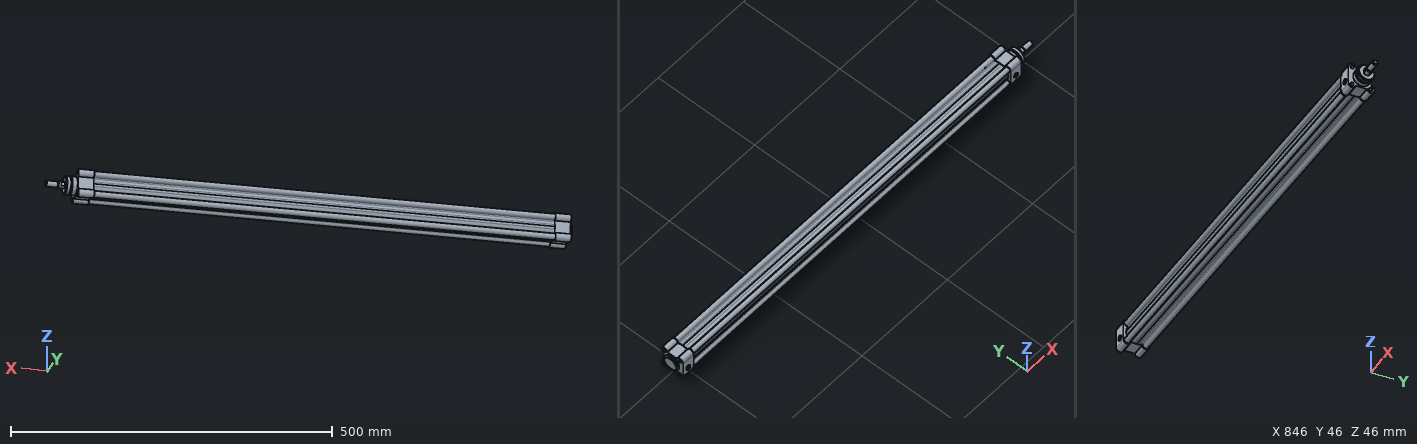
import cadquery as cq

total_length = 846.0
side = 46.0
boss_length = 4.0
cap_length = 25.0
rod_reach = 48.0
rear_face = boss_length
front_face = total_length - rod_reach
tube_start = rear_face + cap_length
tube_end = front_face - cap_length

cap_lobe_radius = 6.6
screw_offset = side / 2 - cap_lobe_radius
tube_lobe_radius = 5.25

recess_depth = 5.4
recess_level = side / 2 - recess_depth
screw_hole_diameter = 6.0
screw_hole_depth = 16.0
port_from_face = 13.0
port_height = -5.7
port_seat_diameter = 9.0
port_seat_depth = 1.0
port_diameter = 7.0
port_depth = 10.0

collar_diameter = 30.0
collar_radius = collar_diameter / 2
boss_chamfer_length = 2.0
boss_chamfer_depth = 2.5
collar_length = 18.0
collar_chamfer = 2.0
groove_start = 8.0
groove_width = 2.5
groove_depth = 1.0

barrel_depth = 4.8
barrel_radius = side / 2 - barrel_depth
junction_fillet = 1.3
ridge_half_width = 3.8
ridge_depth = 4.4
ridge_height = side / 2 - ridge_depth

rod_radius = 6.0
thread_radius = 5.0
thread_length = 19.5
rod_chamfer = 1.3
thread_chamfer = 2.0
flat_half_width = 5.2
flat_length = 6.0


def corner_points(offset):
    return [(y, z) for y in (-offset, offset) for z in (-offset, offset)]


def section(x):
    """Sketch plane across the axis: local x is Y, local y is Z, normal is +X."""
    return cq.Workplane("YZ", origin=(x, 0, 0))


def lobes(x, length, radius):
    return section(x).pushPoints(corner_points(screw_offset)).circle(radius).extrude(length)


def cap(inner_x, outward):
    """End cap from its tube-side face; outward is +1 towards +X or -1 towards -X."""
    start = min(inner_x, inner_x + outward * cap_length)
    core_width = side / 2 + recess_level
    core_center = (recess_level - side / 2) / 2
    body = section(start).center(core_center, 0).rect(core_width, 2 * screw_offset).extrude(cap_length)
    body = body.union(section(start).rect(2 * screw_offset, 2 * recess_level).extrude(cap_length))
    body = body.union(lobes(start, cap_length, cap_lobe_radius))

    outer_x = inner_x + outward * cap_length
    holes = section(outer_x).pushPoints(corner_points(screw_offset)).circle(screw_hole_diameter / 2)
    body = body.cut(holes.extrude(-outward * screw_hole_depth))

    port_x = outer_x - outward * port_from_face
    port_plane = cq.Workplane("XZ", origin=(port_x, -side / 2, port_height))
    body = body.cut(port_plane.circle(port_seat_diameter / 2).extrude(-port_seat_depth))
    return body.cut(port_plane.circle(port_diameter / 2).extrude(-port_depth))


def make_rear_cap():
    boss = section(0).circle(collar_radius).extrude(boss_length)
    boss = boss.faces("<X").chamfer(boss_chamfer_length, boss_chamfer_depth)
    return cap(tube_start, -1).union(boss)


def make_front_cap():
    collar = section(front_face).circle(collar_radius).extrude(collar_length)
    collar = collar.faces(">X").chamfer(collar_chamfer)
    groove = section(front_face + groove_start).circle(collar_radius).circle(collar_radius - groove_depth)
    return cap(tube_end, 1).union(collar.cut(groove.extrude(groove_width)))


def make_tube():
    """Barrel joined to the four lobes, with a low ridge along the middle of each side."""
    length = tube_end - tube_start
    body = section(tube_start).circle(barrel_radius).extrude(length)
    body = body.union(lobes(tube_start, length, tube_lobe_radius))
    near_corner = (tube_start, -screw_offset, -screw_offset)
    far_corner = (tube_end, screw_offset, screw_offset)
    junctions = cq.selectors.BoxSelector(near_corner, far_corner)
    body = body.edges("|X").edges(junctions).fillet(junction_fillet)
    foot = (barrel_radius**2 - ridge_half_width**2) ** 0.5
    ridge_outline = [(0, 0), (ridge_half_width, foot), (0, ridge_height), (-ridge_half_width, foot)]
    ridge = section(tube_start).polyline(ridge_outline).close().extrude(length)
    for quarter in range(4):
        body = body.union(ridge.rotate((0, 0, 0), (1, 0, 0), 90 * quarter))
    return body


def make_rod():
    """Visible end of the rod, standing on the collar, with two wrench flats and a thread spigot."""
    start = front_face + collar_length
    shoulder = total_length - thread_length
    shank = section(start).circle(rod_radius).extrude(shoulder - start).faces(">X").chamfer(rod_chamfer)
    for y_side in (1, -1):
        waste = section(start).center(y_side * (flat_half_width + rod_radius), 0)
        shank = shank.cut(waste.rect(2 * rod_radius, 2 * rod_radius).extrude(flat_length))
    thread = section(shoulder).circle(thread_radius).extrude(thread_length)
    return shank.union(thread.faces(">X").chamfer(thread_chamfer))


rear_cap = make_rear_cap()
front_cap = make_front_cap()
tube = make_tube()
rod = make_rod()

result = cq.Compound.makeCompound([rear_cap.val(), front_cap.val(), tube.val(), rod.val()])